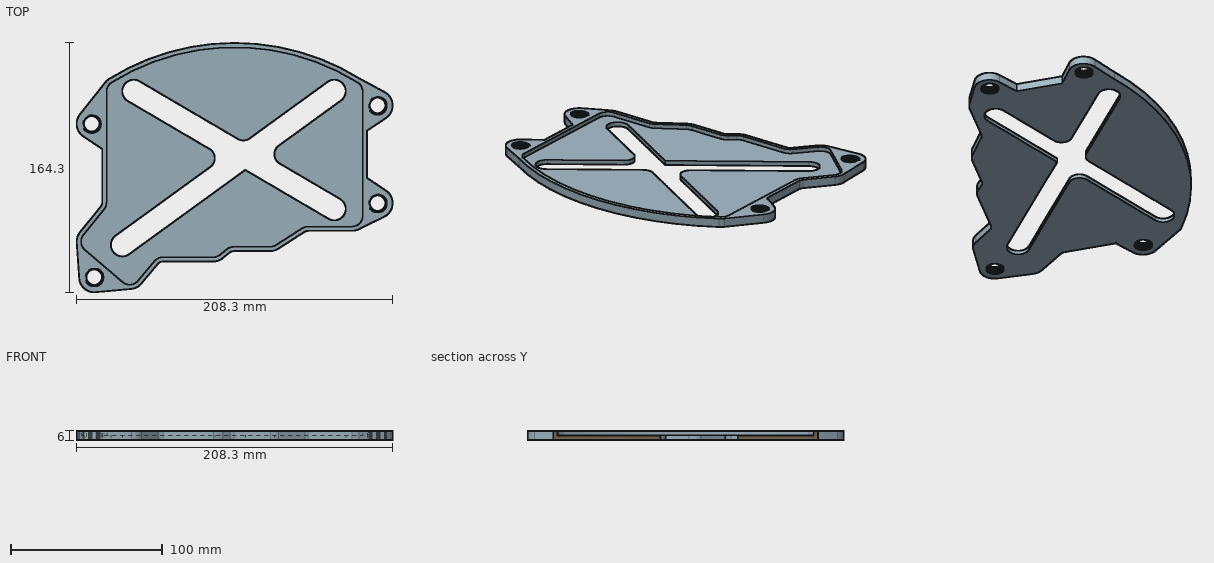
import cadquery as cq
import math

overall_length = 208.2
plate_height = 6.0
pocket_depth = 3.0
floor_height = plate_height - pocket_depth

rim_width = 3.0
pocket_left = 19.8
pocket_right = 188.5
crown_radius = 153.0
crown_center = ((pocket_left + pocket_right) / 2, 8.3)
toe_root = (pocket_left, 56.6)
toe_left = (0.2, 32.5)
toe_bottom = (35.8, 2.0)
low_level = 23.1
middle_level = 30.0
high_level = 43.3
toe_heel_x = 53.5
small_step_x = (92.5, 101.0)
large_step_x = (129.5, 150.3)
corner_radius = 7.0

ear_radius = 10.0
ear_root_drop = 16.7
left_hole = (ear_radius, 111.0)
toe_hole = (11.7, ear_radius)
upper_right_hole = (overall_length - ear_radius, 123.0)
lower_right_hole = (overall_length - ear_radius, 58.7)
hole_diameter = 10.2
thread_diameter = 12.3
thread_pitch = 1.5
thread_mouth = 1.2
thread_overlap = 0.1

slot_width = 15.0
falling_slot = ((37.7, 132.5), (169.7, 55.0))
rising_slot = ((30.2, 31.2), (169.7, 132.5))

half_width = (pocket_right - pocket_left) / 2
shoulder_y = crown_center[1] + math.sqrt(crown_radius**2 - half_width**2)
crown_top = (crown_center[0], crown_center[1] + crown_radius)
left_shoulder = (pocket_left, shoulder_y)
right_shoulder = (pocket_right, shoulder_y)
toe_heel = (toe_heel_x, low_level)
right_foot = (pocket_right, high_level)
pocket_corners = [
    left_shoulder,
    toe_root,
    toe_left,
    toe_bottom,
    toe_heel,
    (small_step_x[0], low_level),
    (small_step_x[1], middle_level),
    (large_step_x[0], middle_level),
    (large_step_x[1], high_level),
    right_foot,
    right_shoulder,
]


def round_corners(body, corners):
    """Round the upright edges of a flat body that stand on the given corners."""
    for x, y in corners:
        nearest = cq.NearestToPointSelector((x, y, plate_height / 2))
        body = body.edges("|Z").edges(nearest).fillet(corner_radius)
    return body


def make_pocket():
    """Full-height block with the rounded outline of the pocket."""
    block = (
        cq.Workplane("XY")
        .polyline(pocket_corners)
        .threePointArc(crown_top, left_shoulder)
        .close()
        .extrude(plate_height)
    )
    return round_corners(block, pocket_corners)


def tangent_web(first, first_radius, second, second_radius):
    """Two discs joined by their outer tangents; a zero second radius gives a pointed end."""
    dx = second[0] - first[0]
    dy = second[1] - first[1]
    heading = math.atan2(dy, dx)
    spread = math.acos((first_radius - second_radius) / math.hypot(dx, dy))

    def on_disc(center, radius, angle):
        return (center[0] + radius * math.cos(angle), center[1] + radius * math.sin(angle))

    web = (
        cq.Workplane("XY")
        .moveTo(*on_disc(first, first_radius, heading + spread))
        .threePointArc(
            on_disc(first, first_radius, heading + math.pi),
            on_disc(first, first_radius, heading - spread),
        )
        .lineTo(*on_disc(second, second_radius, heading - spread))
    )
    if second_radius > 0:
        web = web.threePointArc(
            on_disc(second, second_radius, heading),
            on_disc(second, second_radius, heading + spread),
        )
    return web.close().extrude(plate_height)


def inset_center(previous, corner, following):
    """Center of the pocket fillet in the corner between two straight sides."""
    a = math.atan2(previous[1] - corner[1], previous[0] - corner[0])
    b = math.atan2(following[1] - corner[1], following[0] - corner[0])
    reach = corner_radius / abs(math.sin((a - b) / 2))
    ux = math.cos(a) + math.cos(b)
    uy = math.sin(a) + math.sin(b)
    size = math.hypot(ux, uy)
    return (corner[0] + reach * ux / size, corner[1] + reach * uy / size)


def shoulder_center(side):
    """Center of the fillet between the crown and the left (-1) or right (1) wall."""
    offset = half_width - corner_radius
    rise = math.sqrt((crown_radius - corner_radius) ** 2 - offset**2)
    return (crown_center[0] + side * offset, crown_center[1] + rise)


def make_ears():
    """Four ears, each running tangent to rounded corners of the rim or to a root on its wall."""
    outer_corner = corner_radius + rim_width
    right_wall = pocket_right + rim_width
    left_wall = pocket_left - rim_width
    foot_center = (pocket_right - corner_radius, high_level + corner_radius)
    webs = [
        (left_hole, shoulder_center(-1), outer_corner),
        (left_hole, (left_wall, left_hole[1] - ear_root_drop), 0),
        (upper_right_hole, shoulder_center(1), outer_corner),
        (upper_right_hole, (right_wall, upper_right_hole[1] - ear_root_drop), 0),
        (lower_right_hole, foot_center, outer_corner),
        (lower_right_hole, (right_wall, lower_right_hole[1] + ear_root_drop), 0),
        (toe_hole, inset_center(toe_root, toe_left, toe_bottom), outer_corner),
        (toe_hole, inset_center(toe_left, toe_bottom, toe_heel), outer_corner),
    ]
    ears = cq.Workplane("XY")
    for hole, anchor, anchor_radius in webs:
        ears = ears.union(tangent_web(hole, ear_radius, anchor, anchor_radius))
    return ears


def make_slot(ends):
    """Round-ended bar of the slot width between two end centers."""
    (x1, y1), (x2, y2) = ends
    length = math.hypot(x2 - x1, y2 - y1) + slot_width
    angle = math.degrees(math.atan2(y2 - y1, x2 - x1))
    return (
        cq.Workplane("XY")
        .center((x1 + x2) / 2, (y1 + y2) / 2)
        .slot2D(length, slot_width, angle)
        .extrude(plate_height)
    )


def make_threaded_hole():
    """Cutter for a through hole with a helical V thread running from face to face."""
    bore_radius = hole_diameter / 2
    crest_radius = thread_diameter / 2
    half_mouth = thread_mouth / 2
    base_radius = bore_radius - thread_overlap
    half_base = half_mouth * (crest_radius - base_radius) / (crest_radius - bore_radius)
    start = -thread_pitch

    helix = cq.Wire.makeHelix(thread_pitch, plate_height + 2 * thread_pitch, base_radius)
    ridge = (
        cq.Workplane("XZ", origin=(0, 0, start))
        .moveTo(base_radius, half_base)
        .lineTo(crest_radius, 0)
        .lineTo(base_radius, -half_base)
        .close()
        .sweep(cq.Workplane(obj=helix.translate(cq.Vector(0, 0, start))), isFrenet=True)
    )
    plate_layer = cq.Workplane("XY").circle(ear_radius).extrude(plate_height)
    bore = cq.Workplane("XY").circle(bore_radius).extrude(plate_height)
    return bore.union(ridge.intersect(plate_layer))


def make_slots():
    """Crossed slots with the four floor corners at their crossing rounded."""
    slots = make_slot(falling_slot).union(make_slot(rising_slot))
    (x1, y1), (x2, y2) = falling_slot
    crossing_edges = cq.selectors.BoxSelector(
        ((2 * x1 + x2) / 3, (2 * y1 + y2) / 3, -plate_height),
        ((x1 + 2 * x2) / 3, (y1 + 2 * y2) / 3, 2 * plate_height),
    )
    return slots.edges("|Z").edges(crossing_edges).fillet(corner_radius)


pocket = make_pocket()
plate = pocket.faces("<Z").wires().toPending().offset2D(rim_width).extrude(plate_height)
plate = plate.union(make_ears())
plate = plate.cut(pocket.translate((0, 0, floor_height)))
plate = plate.cut(make_slots())

threaded_hole = make_threaded_hole()
for hole_x, hole_y in [left_hole, toe_hole, upper_right_hole, lower_right_hole]:
    plate = plate.cut(threaded_hole.translate((hole_x, hole_y, 0)))

result = plate